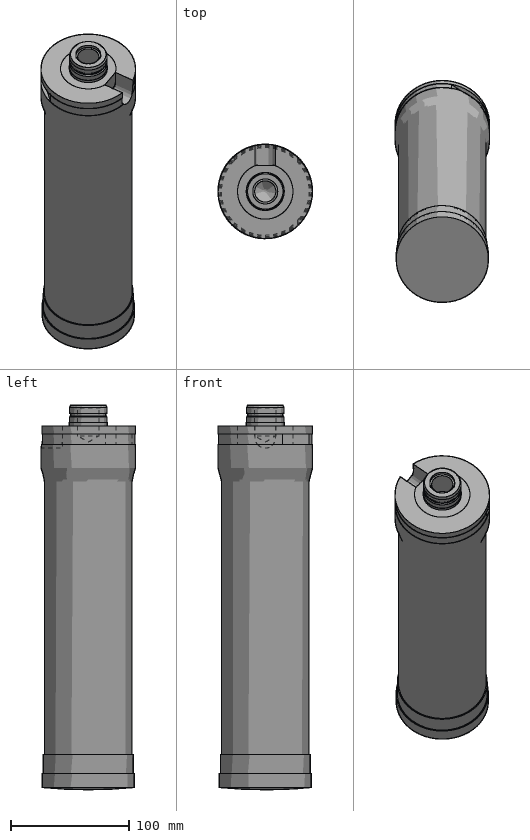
import cadquery as cq
import math

TOTAL_HEIGHT = 325.0
HEAD_TOP = 307.5

DOME_HEIGHT = 2.0
FOOT_RADIUS = 39.0
FOOT_TOP = 14.0
COLLAR_RADIUS = 76.0 / 2
COLLAR_TOP = 30.0
TUBE_RADIUS = 74.0 / 2
NECK_BOTTOM = 260.0
NECK_RADIUS = 37.5
NECK_TOP = 262.0
HEAD_RADIUS = 80.0 / 2
TAPER_TOP = 271.7
BAND_RADIUS = 39.5
BAND_BOTTOM = 292.0
BAND_TOP = 300.5

FLAT_DISTANCE = 36.5
FLAT_ANGLE = -45.0

SLOT_WIDTH = 17.0
SLOT_END_Y = 21.8
SLOT_ARC_HEIGHT = 297.0

HUB_RADIUS = 23.5
HUB_DEPTH = HEAD_TOP - BAND_BOTTOM

SPIGOT_RADIUS = 32.0 / 2
SPIGOT_BASE_RADIUS = 32.2 / 2
SPIGOT_BASE_TOP = 310.0
SPIGOT_CHAMFER_WIDTH = 1.0
SPIGOT_CHAMFER_HEIGHT = 2.3
GROOVE_RADIUS = 15.0
GROOVE_BOTTOM = 315.0
GROOVE_FLOOR_BOTTOM = 316.0
GROOVE_TOP = 318.0

MOUTH_RADIUS = 21.0 / 2
MOUTH_DEPTH = 2.5
BORE_RADIUS = 18.0 / 2
BORE_DEPTH = 26.0
DRILL_POINT_ANGLE = 118.0


def revolve_about_z(profile):
    """Turn a closed (radius, height) profile once around the Z axis."""
    return profile.close().revolve(360, (0, 0, 0), (0, 1, 0))


def make_slot_cutter():
    """Straight-sided channel with a half-round floor, running along +Y."""
    half_width = SLOT_WIDTH / 2
    return (
        cq.Workplane("XZ", origin=(0, SLOT_END_Y, 0))
        .moveTo(-half_width, TOTAL_HEIGHT)
        .lineTo(-half_width, SLOT_ARC_HEIGHT)
        .threePointArc((0, SLOT_ARC_HEIGHT - half_width), (half_width, SLOT_ARC_HEIGHT))
        .lineTo(half_width, TOTAL_HEIGHT)
        .close()
        .extrude(-HEAD_RADIUS)
    )


def make_band_flat_cutter():
    """Block that shaves the band down to a flat face."""
    return (
        cq.Workplane("XY", origin=(0, 0, BAND_BOTTOM))
        .transformed(rotate=(0, 0, FLAT_ANGLE))
        .center(FLAT_DISTANCE + HEAD_RADIUS / 2, 0)
        .rect(HEAD_RADIUS, 2 * HEAD_RADIUS)
        .extrude(BAND_TOP - BAND_BOTTOM)
    )


def make_hub_disc():
    """Disc that fills the recess in the head, flattened where the slot ends."""
    disc = cq.Workplane("XY", origin=(0, 0, BAND_BOTTOM)).circle(HUB_RADIUS).extrude(HUB_DEPTH)
    return disc.cut(make_slot_cutter())


def make_housing():
    """Long body with domed foot, collar, tube and wide slotted head."""
    dome_radius = (FOOT_RADIUS**2 + DOME_HEIGHT**2) / (2 * DOME_HEIGHT)
    mid_x = FOOT_RADIUS / 2
    mid_z = dome_radius - math.sqrt(dome_radius**2 - mid_x**2)
    profile = (
        cq.Workplane("XZ")
        .moveTo(0, 0)
        .threePointArc((mid_x, mid_z), (FOOT_RADIUS, DOME_HEIGHT))
        .lineTo(FOOT_RADIUS, FOOT_TOP)
        .lineTo(COLLAR_RADIUS, FOOT_TOP)
        .lineTo(COLLAR_RADIUS, COLLAR_TOP)
        .lineTo(TUBE_RADIUS, COLLAR_TOP)
        .lineTo(TUBE_RADIUS, NECK_BOTTOM)
        .lineTo(NECK_RADIUS, NECK_TOP)
        .lineTo(HEAD_RADIUS, TAPER_TOP)
        .lineTo(HEAD_RADIUS, BAND_BOTTOM)
        .lineTo(BAND_RADIUS, BAND_BOTTOM)
        .lineTo(BAND_RADIUS, BAND_TOP)
        .lineTo(HEAD_RADIUS, BAND_TOP)
        .lineTo(HEAD_RADIUS, HEAD_TOP)
        .lineTo(0, HEAD_TOP)
    )
    body = revolve_about_z(profile).cut(make_band_flat_cutter())
    return body.cut(make_slot_cutter()).cut(make_hub_disc())


def make_spigot():
    """Grooved spigot with a chamfered top edge."""
    profile = (
        cq.Workplane("XZ")
        .moveTo(0, HEAD_TOP)
        .lineTo(SPIGOT_BASE_RADIUS, HEAD_TOP)
        .lineTo(SPIGOT_BASE_RADIUS, SPIGOT_BASE_TOP)
        .lineTo(SPIGOT_RADIUS, SPIGOT_BASE_TOP)
        .lineTo(SPIGOT_RADIUS, GROOVE_BOTTOM)
        .lineTo(GROOVE_RADIUS, GROOVE_FLOOR_BOTTOM)
        .lineTo(GROOVE_RADIUS, GROOVE_TOP)
        .lineTo(SPIGOT_RADIUS, GROOVE_TOP)
        .lineTo(SPIGOT_RADIUS, TOTAL_HEIGHT - SPIGOT_CHAMFER_HEIGHT)
        .lineTo(SPIGOT_RADIUS - SPIGOT_CHAMFER_WIDTH, TOTAL_HEIGHT)
        .lineTo(0, TOTAL_HEIGHT)
    )
    return revolve_about_z(profile)


def make_bore_cutter():
    """Stepped blind hole with a conical end."""
    mouth_floor = TOTAL_HEIGHT - MOUTH_DEPTH
    bore_end = TOTAL_HEIGHT - BORE_DEPTH
    point_depth = BORE_RADIUS / math.tan(math.radians(DRILL_POINT_ANGLE / 2))
    profile = (
        cq.Workplane("XZ")
        .moveTo(0, bore_end - point_depth)
        .lineTo(BORE_RADIUS, bore_end)
        .lineTo(BORE_RADIUS, mouth_floor)
        .lineTo(MOUTH_RADIUS, mouth_floor)
        .lineTo(MOUTH_RADIUS, TOTAL_HEIGHT)
        .lineTo(0, TOTAL_HEIGHT)
    )
    return revolve_about_z(profile)


def make_hub():
    """Hub disc and spigot, bored from the top and notched by the slot."""
    return make_hub_disc().union(make_spigot()).cut(make_bore_cutter())


housing = make_housing()
hub = make_hub()
result = cq.Compound.makeCompound([housing.val(), hub.val()])